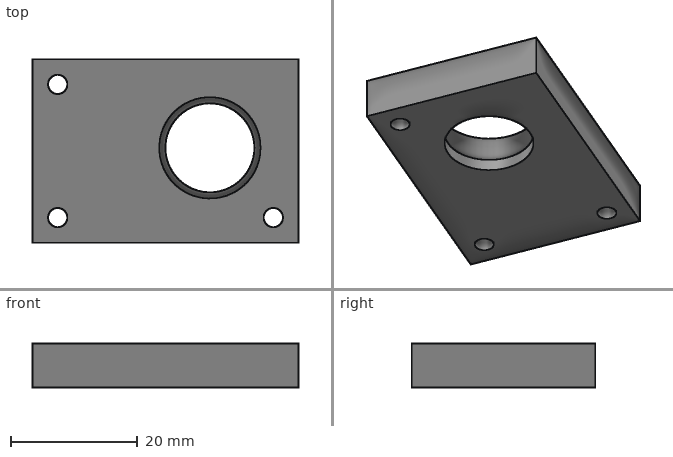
import cadquery as cq

length = 42.0
width = 29.0
thickness = 7.0

mount_hole_diameter = 3.0
mount_hole_inset = 4.0

bore_center = (28.0, 15.0)
seat_diameter = 16.0
seat_depth = 5.0
bore_diameter = 14.0


def make_plate():
    return cq.Workplane("XY").box(length, width, thickness, centered=False)


def cut_mount_holes(body):
    left = mount_hole_inset
    right = length - mount_hole_inset
    front = mount_hole_inset
    back = width - mount_hole_inset
    hole_centers = [(left, front), (right, front), (left, back)]
    holes = (
        cq.Workplane("XY")
        .pushPoints(hole_centers)
        .circle(mount_hole_diameter / 2)
        .extrude(thickness)
    )
    return body.cut(holes)


def cut_stepped_bore(body):
    bore = cq.Workplane("XY").center(*bore_center).circle(bore_diameter / 2).extrude(thickness)
    seat = (
        cq.Workplane("XY", origin=(0, 0, thickness - seat_depth))
        .center(*bore_center)
        .circle(seat_diameter / 2)
        .extrude(seat_depth)
    )
    return body.cut(bore).cut(seat)


result = cut_stepped_bore(cut_mount_holes(make_plate()))